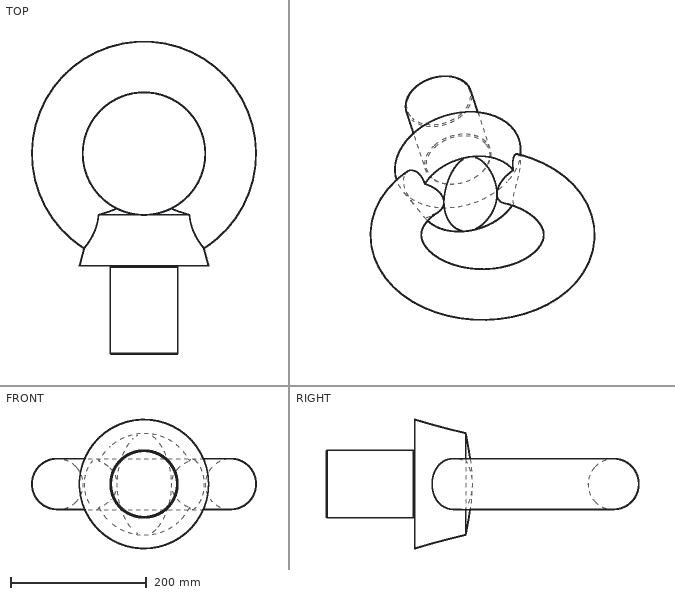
import cadquery as cq
import math

total_length = 460.0
eye_diameter = 180.0
bar_diameter = 75.0
stud_diameter = 100.0
stud_chamfer = 2.0
collar_diameter = 190.0
collar_height = bar_diameter
collar_taper = 15.0

taper_slope = math.tan(math.radians(collar_taper))
seat_radius = collar_diameter / 2
rim_radius = seat_radius - collar_height * taper_slope
cap_height = rim_radius * taper_slope
eye_radius = eye_diameter / 2
eye_center_y = collar_height + eye_radius
ring_radius = eye_radius + bar_diameter / 2
stud_length = total_length - collar_height - eye_diameter - bar_diameter


def make_collar_and_stud():
    """Revolve the stud, chamfered at both ends, and the tapered collar with its conical cap."""
    stud_radius = stud_diameter / 2
    profile = [
        (0, -stud_length),
        (stud_radius - stud_chamfer, -stud_length),
        (stud_radius, -stud_length + stud_chamfer),
        (stud_radius, -stud_chamfer),
        (stud_radius - stud_chamfer, 0),
        (seat_radius, 0),
        (rim_radius, collar_height),
        (0, collar_height + cap_height),
    ]
    return cq.Workplane("XY").polyline(profile).close().revolve(360, (0, 0), (0, 1))


def make_eye_opening():
    """Cylinder along Z that trims the collar cap flush with the eye."""
    return (
        cq.Workplane("XY")
        .center(0, eye_center_y)
        .circle(eye_radius)
        .extrude(seat_radius, both=True)
    )


def make_ring():
    """Round bar bent into a full ring lying in the XY plane."""
    return (
        cq.Workplane("YZ")
        .center(eye_center_y - ring_radius, 0)
        .circle(bar_diameter / 2)
        .revolve(360, (ring_radius, 0), (ring_radius, 1))
    )


result = make_collar_and_stud().cut(make_eye_opening()).union(make_ring())